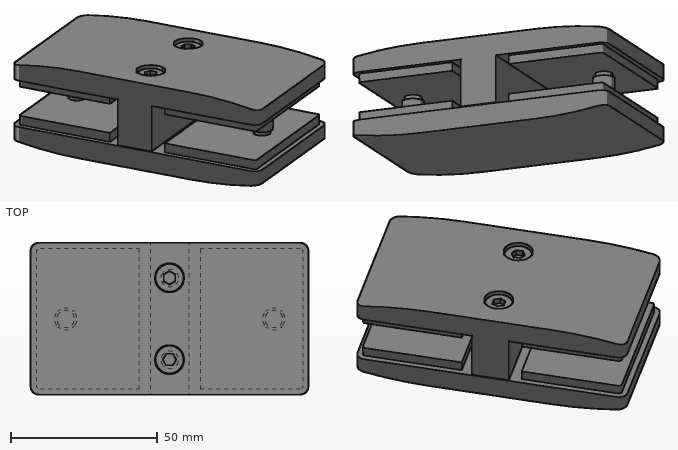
import cadquery as cq
import math

LENGTH = 95.0
WIDTH = 52.0
HEIGHT = 32.0
TOP_Z = HEIGHT / 2

FLAT_LENGTH = 42.9
END_DROP = 2.4
CORNER_RADIUS = 3.0
PLATE_FACE_Z = 8.4
CLAMP_GAP = 0.3
STEM_WIDTH = 13.0

PAD_INSET = 2.0
PAD_INNER_X = 10.5
PAD_FACE_Z = 5.3
PAD_LENGTH = LENGTH / 2 - PAD_INSET - PAD_INNER_X
PAD_WIDTH = WIDTH - 2 * PAD_INSET
PAD_CORNER_RADIUS = CORNER_RADIUS - PAD_INSET

PIN_X = 35.5
PIN_DIAMETER = 6.0
COLLAR_DIAMETER = 7.5
COLLAR_HEIGHT = 7.6

SCREW_Y = 14.0
HEAD_RECESS = 1.0
HEAD_DIAMETER = 9.5
HEAD_HEIGHT = 4.75
HEAD_FILLET = 0.5
COUNTERBORE_DIAMETER = 10.0
SHANK_DIAMETER = 6.0
SHANK_ENGAGEMENT = 4.75
SOCKET_ACROSS_FLATS = 4.0
SCREW_TURNS = {-SCREW_Y: 0, SCREW_Y: 30}
SOCKET_DEPTH = 2.0

LOWER_FACE_Z = -PLATE_FACE_Z - CLAMP_GAP
HEAD_TOP_Z = TOP_Z - HEAD_RECESS
HEAD_SEAT_Z = HEAD_TOP_Z - HEAD_HEIGHT
SHANK_END_Z = LOWER_FACE_Z - SHANK_ENGAGEMENT


def upright_cylinder(x, y, bottom_z, top_z, diameter):
    disc = cq.Workplane("XY", origin=(x, y, bottom_z)).circle(diameter / 2)
    return disc.extrude(top_z - bottom_z)


def make_plate(inner_z):
    """Plate with its curved outer face upward and its flat inner face at inner_z."""
    half_length = LENGTH / 2
    half_flat = FLAT_LENGTH / 2
    run = half_length - half_flat
    arc_radius = (run**2 + END_DROP**2) / (2 * END_DROP)
    half_angle = math.asin(run / arc_radius) / 2
    mid_x = half_flat + arc_radius * math.sin(half_angle)
    mid_z = TOP_Z - arc_radius * (1 - math.cos(half_angle))
    end_z = TOP_Z - END_DROP
    plate = (
        cq.Workplane("XZ")
        .moveTo(-half_length, inner_z)
        .lineTo(half_length, inner_z)
        .lineTo(half_length, end_z)
        .threePointArc((mid_x, mid_z), (half_flat, TOP_Z))
        .lineTo(-half_flat, TOP_Z)
        .threePointArc((-mid_x, mid_z), (-half_length, end_z))
        .close()
        .extrude(WIDTH / 2, both=True)
    )
    return plate.edges("|Z").fillet(CORNER_RADIUS)


def make_upper_plate():
    stem_height = 2 * PLATE_FACE_Z
    stem = cq.Workplane("XY").box(STEM_WIDTH, WIDTH, stem_height)
    plate = make_plate(PLATE_FACE_Z).union(stem)
    for y in SCREW_TURNS:
        plate = plate.cut(upright_cylinder(0, y, HEAD_SEAT_Z, TOP_Z, COUNTERBORE_DIAMETER))
        plate = plate.cut(upright_cylinder(0, y, -PLATE_FACE_Z, HEAD_SEAT_Z, SHANK_DIAMETER))
    return plate


def make_lower_plate():
    plate = make_plate(-LOWER_FACE_Z).mirror("XY")
    for y in SCREW_TURNS:
        plate = plate.cut(upright_cylinder(0, y, SHANK_END_Z, LOWER_FACE_Z, SHANK_DIAMETER))
    for x in (-PIN_X, PIN_X):
        plate = plate.union(upright_cylinder(x, 0, LOWER_FACE_Z, PAD_FACE_Z, PIN_DIAMETER))
        plate = plate.union(
            upright_cylinder(x, 0, -COLLAR_HEIGHT / 2, COLLAR_HEIGHT / 2, COLLAR_DIAMETER)
        )
    return plate


def make_pad(side, bottom_z, top_z):
    """Pad at the +X end for side = 1, or at the -X end for side = -1."""
    centre_x = side * (PAD_INNER_X + PAD_LENGTH / 2)
    pad = (
        cq.Workplane("XY", origin=(centre_x, 0, bottom_z))
        .rect(PAD_LENGTH, PAD_WIDTH)
        .extrude(top_z - bottom_z)
    )
    outer_corners = "|Z and >X" if side > 0 else "|Z and <X"
    return pad.edges(outer_corners).fillet(PAD_CORNER_RADIUS)


def make_upper_pad(side):
    return make_pad(side, PAD_FACE_Z, PLATE_FACE_Z)


def make_lower_pad(side):
    """Lower pad, with the hole that its pin passes through."""
    hole = upright_cylinder(side * PIN_X, 0, LOWER_FACE_Z, -PAD_FACE_Z, PIN_DIAMETER)
    return make_pad(side, LOWER_FACE_Z, -PAD_FACE_Z).cut(hole)


def make_screw(y, socket_turn):
    """Screw at y, with its hexagon socket turned by socket_turn degrees."""
    head = upright_cylinder(0, y, HEAD_SEAT_Z, HEAD_TOP_Z, HEAD_DIAMETER)
    head = head.faces(">Z").edges().fillet(HEAD_FILLET)
    shank = upright_cylinder(0, y, SHANK_END_Z, HEAD_SEAT_Z, SHANK_DIAMETER)
    across_corners = SOCKET_ACROSS_FLATS / math.cos(math.pi / 6)
    socket = (
        cq.Workplane("XY", origin=(0, y, HEAD_TOP_Z))
        .transformed(rotate=(0, 0, socket_turn))
        .polygon(6, across_corners)
        .extrude(-SOCKET_DEPTH)
    )
    return head.union(shank).cut(socket)


upper_plate = make_upper_plate()
lower_plate = make_lower_plate()
upper_pads = [make_upper_pad(side) for side in (-1, 1)]
lower_pads = [make_lower_pad(side) for side in (-1, 1)]
screws = [make_screw(y, turn) for y, turn in SCREW_TURNS.items()]

bodies = [upper_plate, lower_plate, *upper_pads, *lower_pads, *screws]
result = cq.Compound.makeCompound([body.val() for body in bodies])